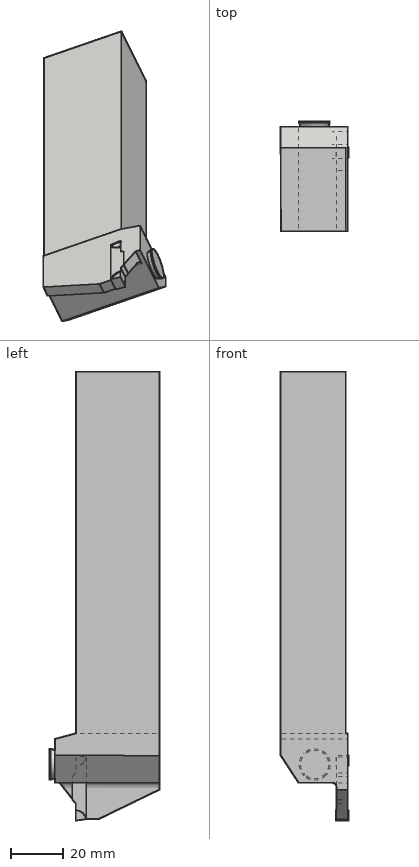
import cadquery as cq
import math


total_length = 171.35
cutting_corner_x = 26.04

shank_depth = 32.0
shank_right_x = 25.0
left_face_lean = 0.18

head_depth = 40.0
head_step_z = 33.4
head_bottom_z = 14.5
shoulder_angle = 15.0
side_bevel_top_z = 25.1
side_bevel_width = 6.9

insert_length = 25.0
edge_width = 5.0
insert_base_y = 28.0
rake_y = 32.05
ridge_y = 33.3
rake_length = 6.7
cutting_end_radius = 4.0
end_relief = 0.6
side_relief = 0.3

head_right_x = cutting_corner_x - side_relief
blade_left_x = cutting_corner_x - edge_width + side_relief
root_radius = 1.6
blade_bottom_z = end_relief
blade_toe_y = 23.3
blade_base_z = 11.9
nose_top_y = 38.2

screw_diameter = 11.86
screw_neck_diameter = 10.8
screw_rim_height = 0.6
screw_top_y = 42.1
screw_x = 13.0
screw_z = 21.6


def side_profile(points, left_x, right_x):
    """Extrude a closed Y-Z outline from left_x to right_x."""
    outline = cq.Workplane("YZ", origin=(left_x, 0, 0)).polyline(points).close()
    return outline.extrude(right_x - left_x)


def insert_body():
    """Double-ended insert: a narrow ridge body with a wider cutting edge at both ends."""
    middle_z = insert_length / 2
    ridge_start_z = rake_length + ridge_y - rake_y
    half_points = [
        (insert_base_y, middle_z),
        (insert_base_y, end_relief),
        (rake_y, 0),
        (rake_y, rake_length),
        (ridge_y, ridge_start_z),
        (ridge_y, middle_z),
    ]
    half_body = side_profile(half_points, blade_left_x, head_right_x)

    end_outline = [
        (insert_base_y, end_relief),
        (rake_y, 0),
        (rake_y, middle_z),
        (insert_base_y, middle_z),
    ]
    edge_left_x = cutting_corner_x - edge_width
    round_step = (
        cq.Workplane("YZ", origin=(edge_left_x, rake_y, 0))
        .circle(cutting_end_radius)
        .extrude(edge_width)
    )
    cutting_end = side_profile(end_outline, edge_left_x, cutting_corner_x).intersect(round_step)
    half = half_body.union(cutting_end)
    return half.union(half.mirror("XY", (0, 0, middle_z)))


def shank_and_head():
    """Shank widened into the head, with the leaning left face and the bevelled lower left side."""
    shoulder_rise = (head_depth - shank_depth) * math.tan(math.radians(shoulder_angle))
    shank = side_profile(
        [(0, head_step_z), (shank_depth, head_step_z), (shank_depth, total_length), (0, total_length)],
        0,
        shank_right_x,
    )
    head = side_profile(
        [
            (0, head_bottom_z),
            (head_depth, head_bottom_z),
            (head_depth, head_step_z - shoulder_rise),
            (shank_depth, head_step_z),
            (0, head_step_z),
        ],
        0,
        head_right_x,
    )
    lean_wedge = (
        cq.Workplane("XY")
        .polyline([(0, 0), (left_face_lean, 0), (0, head_depth)])
        .close()
        .extrude(total_length)
    )
    side_bevel = (
        cq.Workplane("XZ")
        .polyline([(0, side_bevel_top_z), (side_bevel_width, head_bottom_z), (0, head_bottom_z)])
        .close()
        .extrude(-head_depth)
    )
    return shank.union(head).cut(lean_wedge).cut(side_bevel)


def blade():
    """Thin blade below the head that holds the insert, with a filleted root on its left side."""
    profile = [
        (0, head_bottom_z),
        (0, blade_base_z),
        (blade_toe_y, blade_bottom_z),
        (insert_base_y, blade_bottom_z),
        (rake_y, rake_length),
        (nose_top_y, head_bottom_z),
    ]
    root_left_x = blade_left_x - root_radius
    root_low_z = head_bottom_z - root_radius
    arc_offset = root_radius * math.sqrt(0.5)
    root_fillet = (
        cq.Workplane("XZ")
        .moveTo(root_left_x, head_bottom_z)
        .threePointArc(
            (root_left_x + arc_offset, root_low_z + arc_offset),
            (blade_left_x, root_low_z),
        )
        .lineTo(blade_left_x, head_bottom_z)
        .close()
        .extrude(-head_depth)
        .intersect(side_profile(profile, root_left_x, blade_left_x))
    )
    insert_gap = (
        cq.Workplane("XY", origin=(root_left_x, insert_base_y, root_low_z))
        .box(root_radius, ridge_y - insert_base_y, root_radius, centered=False)
    )
    return side_profile(profile, blade_left_x, head_right_x).union(root_fillet.cut(insert_gap))


def clamp_screw_head():
    """Round screw head on the +Y face, tapering to a slightly smaller neck at the head."""
    taper_height = screw_top_y - head_depth - screw_rim_height
    neck_radius = screw_neck_diameter / 2
    rim_radius = screw_diameter / 2
    taper = cq.Workplane(
        cq.Solid.makeCone(
            neck_radius,
            rim_radius,
            taper_height,
            cq.Vector(screw_x, head_depth, screw_z),
            cq.Vector(0, 1, 0),
        )
    )
    rim = (
        cq.Workplane("XZ", origin=(screw_x, head_depth + taper_height, screw_z))
        .circle(rim_radius)
        .extrude(-screw_rim_height)
    )
    return taper.union(rim)


insert = insert_body()
holder = shank_and_head().union(blade()).union(clamp_screw_head()).cut(insert)

result = cq.Compound.makeCompound([holder.val(), insert.val()])